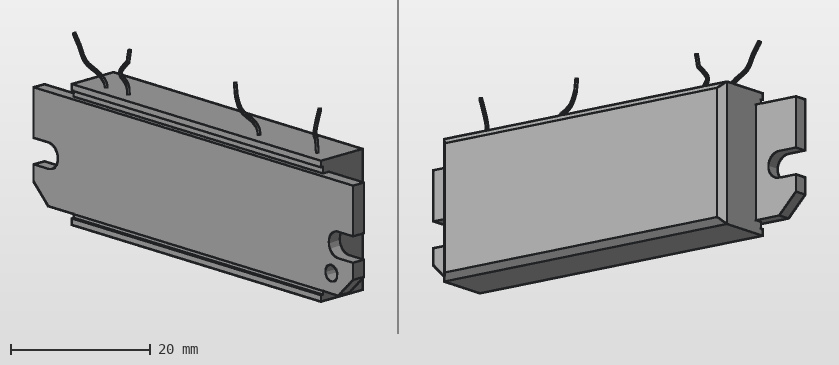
import cadquery as cq


plate_length = 66.0
plate_height = 17.15
plate_thickness = 2.2
corner_chamfer = 3.05
slot_width = 3.95
slot_depth = 5.0
slot_z = -1.0
hole_diameter = 2.45
hole_x = 28.5
hole_z = -5.55

housing_length = 51.5
housing_height = 21.1
housing_front = 0.6
housing_back = 9.9
back_chamfer = 1.0
lip_height = 1.0
groove_floor = 1.0

lead_diameter = 0.4
lead_root_depth = 0.3
lead_rises = [1.0, 2.65, 4.3, 5.95, 7.85]
lead_y_path = [3.05, 2.9, 1.7, 0.4, 0.25, 0.25]
lead_x_paths = [
    [-21.1, -21.45, -22.1, -22.85, -23.6, -24.9],
    [-16.55, -16.5, -16.2, -15.4, -13.85, -13.4],
    [10.4, 10.3, 9.8, 9.25, 8.65, 8.4],
    [22.45, 22.5, 23.55, 24.75, 25.3, 25.9],
]


def block(length, height, y_front, y_back):
    """Box centred on X and Z, spanning the given Y range."""
    depth = y_back - y_front
    return cq.Workplane("XY").box(length, depth, height).translate((0, y_front + depth / 2, 0))


def make_slot(side):
    """Round-ended slot cutter, open at the plate end on the given side."""
    return (
        cq.Workplane("XZ", origin=(side * plate_length / 2, 0, slot_z))
        .slot2D(2 * slot_depth, slot_width)
        .extrude(-plate_thickness)
    )


def make_plate():
    """Mounting plate with chamfered lower corners, end slots and one small hole."""
    plate = block(plate_length, plate_height, 0, plate_thickness)
    plate = plate.faces("<Z").edges("|Y").chamfer(corner_chamfer)
    for side in (-1, 1):
        plate = plate.cut(make_slot(side))
    hole = (
        cq.Workplane("XZ", origin=(hole_x, 0, hole_z))
        .circle(hole_diameter / 2)
        .extrude(-plate_thickness)
    )
    return plate.cut(hole)


def make_lead(x_path):
    """Bent round wire rooted in the top of the housing."""
    housing_top = housing_height / 2
    root = cq.Vector(x_path[0], lead_y_path[0], housing_top - lead_root_depth)
    points = [root]
    for x, y, rise in zip(x_path[1:], lead_y_path[1:], lead_rises):
        points.append(cq.Vector(x, y, housing_top + rise))
    end_tangent = cq.Vector(points[-1].x - points[-2].x, 0, points[-1].z - points[-2].z)
    centre_line = cq.Edge.makeSpline(points, tangents=[cq.Vector(0, 0, 1), end_tangent])
    return (
        cq.Workplane("XY", origin=root.toTuple())
        .circle(lead_diameter / 2)
        .sweep(cq.Workplane(obj=cq.Wire.assembleEdges([centre_line])))
    )


def make_housing():
    """Chamfered housing with a front channel, a plate recess and its four leads."""
    housing = block(housing_length, housing_height, housing_front, housing_back)
    housing = housing.faces(">Y").chamfer(back_chamfer)
    channel_height = housing_height - 2 * lip_height
    housing = housing.cut(block(housing_length, channel_height, housing_front, groove_floor))
    housing = housing.cut(block(housing_length, plate_height, groove_floor, plate_thickness))
    for x_path in lead_x_paths:
        housing = housing.union(make_lead(x_path))
    return housing


plate = make_plate()
housing = make_housing()

result = cq.Compound.makeCompound([plate.val(), housing.solids().val()])